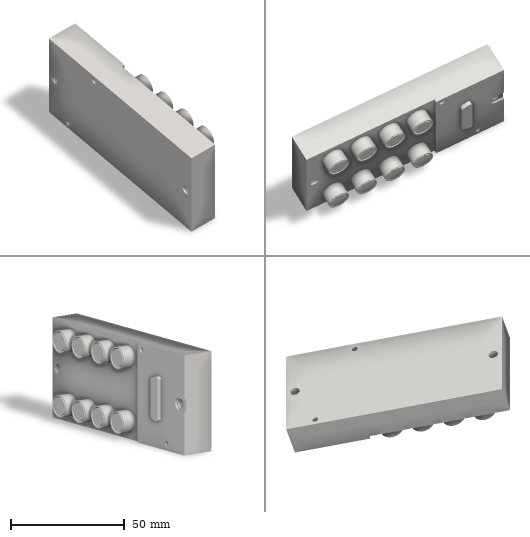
import cadquery as cq
import math

LENGTH = 98.0
HEIGHT = 45.0
BODY_DEPTH = 15.0
MID_HEIGHT = HEIGHT / 2

STEP_START = 34.0
STEP_DROP = 1.5
STEP_FACE = BODY_DEPTH - STEP_DROP

SOCKET_DIAMETER = 10.0
SOCKET_BORE = 9.0
SOCKET_CORE = 8.0
SOCKET_TOP = 19.5
SOCKET_FIRST_X = 43.0
SOCKET_PITCH_X = 14.0
SOCKET_COLUMNS = 4
SOCKET_ROW_OFFSET = 14.5

BAR_LEFT = 17.0
BAR_WIDTH = 5.0
BAR_LENGTH = 20.0
BAR_TOP = 17.0
BAR_LEFT_RADIUS = 1.0
BAR_RIGHT_RADIUS = 1.5
BAR_FLAT_END = 2.0
BAR_END_SLOPE = math.radians(20)

MOUNT_DIAMETER = 4.2
MOUNT_EDGE_DISTANCE = 4.0
SLOT_WIDTH = 5.5
SLOT_DEPTH = 1.0

THREAD_CORE_DIAMETER = 2.46
THREAD_OUTER_DIAMETER = 3.0
THREAD_EDGE_DISTANCE = 3.0
THREAD_HOLES = [(13.0, THREAD_EDGE_DISTANCE), (31.0, HEIGHT - THREAD_EDGE_DISTANCE)]


def plane_at(x, y, z):
    """Plane facing +Y; its local axes are +Z (first) and +X (second)."""
    return cq.Plane(origin=(x, y, z), xDir=(0, 0, 1), normal=(0, 1, 0))


def cylinder(x, z, diameter, y_start, y_end):
    """Round bar along Y between two depths."""
    return cq.Workplane(plane_at(x, y_start, z)).circle(diameter / 2).extrude(y_end - y_start)


def make_body():
    """Block with a stepped outline, extruded over the full height."""
    outline = [
        (0, 0),
        (LENGTH, 0),
        (LENGTH, STEP_FACE),
        (STEP_START, STEP_FACE),
        (STEP_START, BODY_DEPTH),
        (0, BODY_DEPTH),
    ]
    return cq.Workplane("XY").polyline(outline).close().extrude(HEIGHT)


def make_bar():
    """Raised bar whose two ends fall away towards +X; corners are rounded."""
    half_length = BAR_LENGTH / 2
    end_drop = (BAR_WIDTH - BAR_FLAT_END) * math.tan(BAR_END_SLOPE)
    outline = [
        (-half_length, 0),
        (half_length, 0),
        (half_length, BAR_FLAT_END),
        (half_length - end_drop, BAR_WIDTH),
        (end_drop - half_length, BAR_WIDTH),
        (-half_length, BAR_FLAT_END),
    ]
    bar = (
        cq.Workplane(plane_at(BAR_LEFT, BODY_DEPTH, MID_HEIGHT))
        .polyline(outline)
        .close()
        .extrude(BAR_TOP - BODY_DEPTH)
    )
    bar = bar.faces("<X").edges("|Y").fillet(BAR_LEFT_RADIUS)
    return bar.faces(">X").edges("|Y").fillet(BAR_RIGHT_RADIUS)


def make_socket(x, z):
    """Sleeve and core standing on the lowered face, flush at the top."""
    sleeve = cylinder(x, z, SOCKET_DIAMETER, STEP_FACE, SOCKET_TOP)
    bore = cylinder(x, z, SOCKET_BORE, STEP_FACE, SOCKET_TOP)
    core = cylinder(x, z, SOCKET_CORE, STEP_FACE, SOCKET_TOP)
    gap = bore.cut(core)
    return sleeve.cut(gap)


def make_slot():
    """Shallow slot, open at the left side, ending round about the mounting hole."""
    floor = BODY_DEPTH - SLOT_DEPTH
    round_end = cylinder(MOUNT_EDGE_DISTANCE, MID_HEIGHT, SLOT_WIDTH, floor, BODY_DEPTH)
    channel = cq.Workplane("XY").box(
        MOUNT_EDGE_DISTANCE, SLOT_DEPTH, SLOT_WIDTH, centered=(False, False, True)
    )
    return round_end.union(channel.translate((0, floor, MID_HEIGHT)))


def make_thread_hole(x, z):
    """Through bore with a 45 degree chamfer at the back face."""
    chamfer_depth = (THREAD_OUTER_DIAMETER - THREAD_CORE_DIAMETER) / 2
    bore = cylinder(x, z, THREAD_CORE_DIAMETER, 0, BODY_DEPTH)
    chamfer = cq.Solid.makeCone(
        THREAD_OUTER_DIAMETER / 2,
        THREAD_CORE_DIAMETER / 2,
        chamfer_depth,
        pnt=cq.Vector(x, 0, z),
        dir=cq.Vector(0, 1, 0),
    )
    return bore.union(cq.Workplane(chamfer))


result = make_body().union(make_bar())

for column in range(SOCKET_COLUMNS):
    socket_x = SOCKET_FIRST_X + column * SOCKET_PITCH_X
    for side in (-1, 1):
        socket_z = MID_HEIGHT + side * SOCKET_ROW_OFFSET
        result = result.union(make_socket(socket_x, socket_z))

for mount_x in (MOUNT_EDGE_DISTANCE, LENGTH - MOUNT_EDGE_DISTANCE):
    result = result.cut(cylinder(mount_x, MID_HEIGHT, MOUNT_DIAMETER, 0, BODY_DEPTH))

result = result.cut(make_slot())

for thread_x, thread_z in THREAD_HOLES:
    result = result.cut(make_thread_hole(thread_x, thread_z))